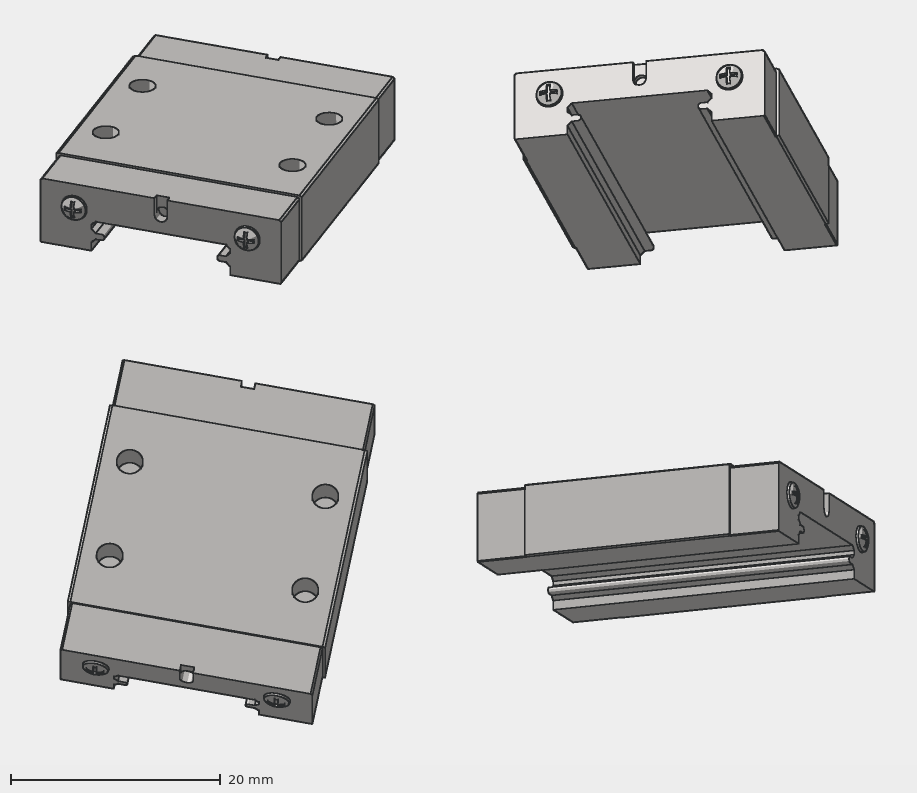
import cadquery as cq
import math

block_width = 25.0
block_length = 21.0
block_height = 7.1
block_bevel_width = 0.25
block_bevel_height = 0.13

cap_width = 24.5
cap_length = 30.95
cap_height = 6.9
cap_top_chamfer = 0.2
cap_bottom_chamfer = 0.1
cap_end = cap_length / 2

channel_half_width = 7.05
channel_height = 3.22
channel_bevel = 0.42
lip_reach = 1.32
lip_thickness = 0.65
lip_height = 1.65

mount_radius = 1.25
mount_depth = 3.0
mount_spacing_x = 19
mount_spacing_y = 10.0
mount_tip_angle = 118

groove_width = 1.3
groove_depth = 0.6
grease_hole_depth = 1.2
grease_hole_height = 5.1

screw_spacing = 17.6
screw_height = 4.35
head_radius = 1.3
shoulder_radius = 1.22
head_height = 0.65
rim_height = 0.23
cross_length = 1.67
cross_width = 0.35
cross_depth = 0.48


def make_block():
    """Central block with flat bevels, wider than they are tall, on its four long edges."""
    half_width = block_width / 2
    top_half_width = half_width - block_bevel_width
    return (
        cq.Workplane("XZ", origin=(0, block_length / 2, 0))
        .moveTo(-top_half_width, 0)
        .lineTo(top_half_width, 0)
        .lineTo(half_width, block_bevel_height)
        .lineTo(half_width, block_height - block_bevel_height)
        .lineTo(top_half_width, block_height)
        .lineTo(-top_half_width, block_height)
        .lineTo(-half_width, block_height - block_bevel_height)
        .lineTo(-half_width, block_bevel_height)
        .close()
        .extrude(block_length)
    )


def make_caps():
    """One slab through the block that forms the cap at both ends."""
    caps = cq.Workplane("XY").rect(cap_width, cap_length).extrude(cap_height)
    caps = caps.edges("|Y and >Z").chamfer(cap_top_chamfer)
    return caps.edges("|Y and <Z").chamfer(cap_bottom_chamfer)


def make_channel():
    """Full-length channel with bevelled corners, less the lips that stay on its walls."""
    bevel_start = channel_half_width - channel_bevel
    lip_radius = lip_thickness / 2
    lip_bottom = lip_height - lip_radius
    lip_top = lip_height + lip_radius
    lip_tip = channel_half_width - lip_reach
    half = (
        cq.Workplane("XZ", origin=(0, cap_end, 0))
        .lineTo(channel_half_width, 0)
        .lineTo(channel_half_width, lip_bottom - channel_bevel)
        .lineTo(bevel_start, lip_bottom)
        .lineTo(lip_tip + lip_radius, lip_bottom)
        .threePointArc((lip_tip, lip_height), (lip_tip + lip_radius, lip_top))
        .lineTo(bevel_start, lip_top)
        .lineTo(channel_half_width, lip_top + channel_bevel)
        .lineTo(channel_half_width, channel_height - channel_bevel)
        .lineTo(bevel_start, channel_height)
        .lineTo(0, channel_height)
        .close()
        .extrude(cap_length)
    )
    return half.union(half.mirror("YZ"))


def make_mount_hole():
    """Drilled hole with a conical bottom, opening at the top of the block."""
    tip_depth = mount_radius / math.tan(math.radians(mount_tip_angle / 2))
    floor = block_height - mount_depth
    return (
        cq.Workplane("XZ")
        .moveTo(0, block_height)
        .lineTo(mount_radius, block_height)
        .lineTo(mount_radius, floor)
        .lineTo(0, floor - tip_depth)
        .close()
        .revolve(360, (0, 0), (0, 1))
    )


def make_grease_port():
    """Round hole into the -Y end face, with a groove from it to the top."""
    face = cq.Workplane("XZ", origin=(0, -cap_end, 0))
    hole = face.center(0, grease_hole_height).circle(groove_width / 2).extrude(-grease_hole_depth)
    groove_length = cap_height - grease_hole_height
    groove = (
        face.center(0, grease_hole_height + groove_length / 2)
        .rect(groove_width, groove_length)
        .extrude(-groove_depth)
    )
    return hole.union(groove)


def make_screw_head():
    """Domed head with a cross recess, standing on the -Y end face."""
    dome_height = head_height - rim_height
    sphere_radius = (shoulder_radius**2 + dome_height**2) / (2 * dome_height)
    mid_radius = shoulder_radius / 2
    mid_height = head_height - sphere_radius + math.sqrt(sphere_radius**2 - mid_radius**2)
    head = (
        cq.Workplane("XY")
        .lineTo(head_radius, 0)
        .lineTo(shoulder_radius, -rim_height)
        .threePointArc((mid_radius, -mid_height), (0, -head_height))
        .close()
        .revolve(360, (0, 0), (0, 1))
    )
    cross_face = cq.Workplane("XZ", origin=(0, -head_height, 0))
    for size in ((cross_length, cross_width), (cross_width, cross_length)):
        head = head.cut(cross_face.rect(*size).extrude(-cross_depth))
    return head.translate((0, -cap_end, screw_height))


result = make_block().union(make_caps()).cut(make_channel())

mount_hole = make_mount_hole()
for x_side in (-1, 1):
    for y_side in (-1, 1):
        offset = (x_side * mount_spacing_x / 2, y_side * mount_spacing_y / 2, 0)
        result = result.cut(mount_hole.translate(offset))

grease_port = make_grease_port()
result = result.cut(grease_port).cut(grease_port.mirror("XZ"))

for x_side in (-1, 1):
    screw_head = make_screw_head().translate((x_side * screw_spacing / 2, 0, 0))
    result = result.union(screw_head).union(screw_head.mirror("XZ"))